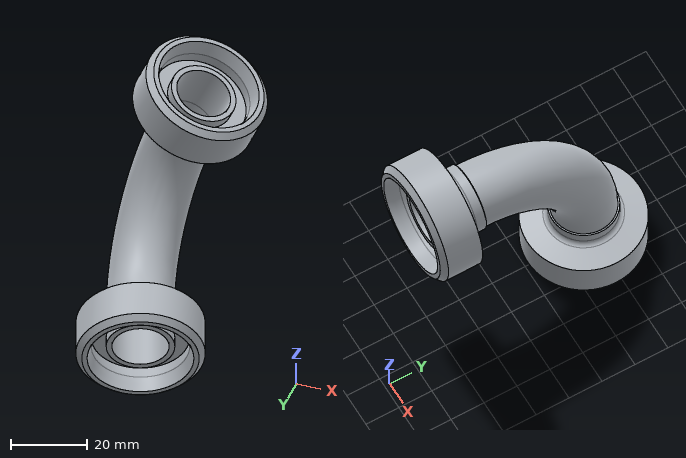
import cadquery as cq
import math

tube_diameter = 18.0
tube_bore = 15.0
bend_radius = 35.0
tube_end_setback = 4.0

coupling_diameter = 34.0
coupling_length = 17.5
rim_length = 12.0
rim_chamfer = 1.6
sleeve_diameter = 19.0
back_slope = 10.0
back_fillet = 1.5

mouth_diameter = 28.0
recess_diameter = 25.8
mouth_depth = 4.0
recess_depth = 7.0

face_distance = bend_radius + coupling_length
leg_angles = (0.0, -90.0)


def make_tube():
    """Pipe swept from one tube end to the other."""
    end = face_distance - tube_end_setback
    bend_middle = bend_radius * (1 - math.sqrt(0.5))
    path = (
        cq.Workplane("YZ")
        .moveTo(0, -end)
        .lineTo(0, -bend_radius)
        .threePointArc((-bend_middle, -bend_middle), (-bend_radius, 0))
        .lineTo(-end, 0)
    )
    return (
        cq.Workplane("XY", origin=(0, 0, -end))
        .circle(tube_diameter / 2)
        .circle(tube_bore / 2)
        .sweep(path)
    )


def make_coupling():
    """Coupling on the -Z leg, open face down, revolved about Z."""
    outer = coupling_diameter / 2
    sleeve = sleeve_diameter / 2
    bore = tube_diameter / 2
    slope = math.radians(back_slope)
    taper_height = (outer - sleeve) * math.tan(slope)

    fillet_reach = back_fillet * math.tan((math.pi / 2 - slope) / 2)
    corner = rim_length + taper_height
    fillet_start = (
        sleeve + fillet_reach * math.cos(slope),
        corner - fillet_reach * math.sin(slope),
    )
    fillet_end = (sleeve, corner + fillet_reach)

    profile = (
        cq.Workplane("XZ", origin=(0, 0, -face_distance))
        .moveTo(mouth_diameter / 2, 0)
        .lineTo(outer - rim_chamfer, 0)
        .lineTo(outer, rim_chamfer)
        .lineTo(outer, rim_length)
        .lineTo(*fillet_start)
        .radiusArc(fillet_end, back_fillet)
        .lineTo(sleeve, coupling_length)
        .lineTo(bore, coupling_length)
        .lineTo(bore, recess_depth)
        .lineTo(recess_diameter / 2, recess_depth)
        .lineTo(recess_diameter / 2, mouth_depth)
        .close()
    )
    return profile.revolve(360, (0, 0, 0), (0, 1, 0))


tube = make_tube()
couplings = [
    make_coupling().rotate((0, 0, 0), (1, 0, 0), angle)
    for angle in leg_angles
]

result = cq.Compound.makeCompound(
    [tube.val(), *[coupling.val() for coupling in couplings]]
)